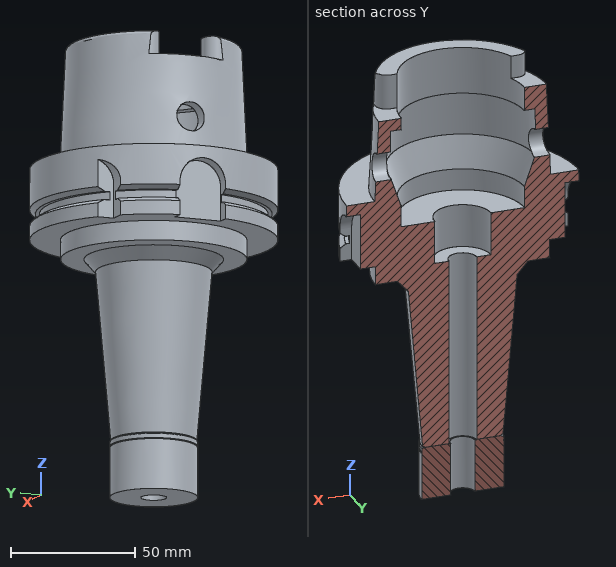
import cadquery as cq
import math

TOP_Z = 185.0
FLANGE_TOP_Z = 135.0
FLANGE_BOTTOM_Z = 106.0
COLLAR_BOTTOM_Z = 98.0
SHANK_TOP_Z = 92.9
SHANK_END_Z = 23.3
NUT_TOP_Z = 22.8

TAPER_TOP_RADIUS = 35.5
TAPER_BASE_RADIUS = 38.0
FLANGE_DIAMETER = 100.0
FLANGE_RADIUS = FLANGE_DIAMETER / 2
COLLAR_RADIUS = 37.5
SHANK_FLARE_RADIUS = 28.1
SHANK_TOP_RADIUS = 23.5
SHANK_END_RADIUS = 17.4
SPIGOT_RADIUS = 16.6
RIM_FILLET = 1.8

GROOVE_RADIUS = 46.0
GROOVE_UPPER_EDGE_Z = 118.4
GROOVE_UPPER_FLOOR_Z = 116.7
GROOVE_LOWER_FLOOR_Z = 113.4
GROOVE_LOWER_EDGE_Z = 111.7
GROOVE_EDGE_RADIUS = 47.7

BORE_RADIUS = 26.5
BORE_LIP_Z = 164.8
UNDERCUT_RADIUS = 31.0
UNDERCUT_BOTTOM_Z = 144.7
UNDERCUT_TAPER_END_Z = 131.4
BORE_FLOOR_Z = 122.1
COOLANT_BORE_RADIUS = 12.0
COOLANT_BORE_DEPTH = 18.5
THROUGH_HOLE_RADIUS = 6.0

SIDE_HOLE_DIAMETER = 12.0
SIDE_HOLE_Z = 149.7

NOTCH_WIDTH = 20.0
NOTCH_CORNER_RADIUS = 4.8
LUG_LENGTH = 64.2
LUG_END_X = LUG_LENGTH / 2
LEFT_NOTCH_DEPTH = 9.8
RIGHT_NOTCH_DEPTH = 15.0

SLOT_WIDTH = 20.0
SLOT_CREST_Z = 130.0
KEY_SLOT_FLOOR = 44.0
INDEX_SLOT_FLOOR = 31.8
INDEX_SLOT_Y = 41.6

NUT_RADIUS = 17.8
NUT_HOLE_RADIUS = 5.2
NUT_GROOVE_Z = 20.5
NUT_GROOVE_WIDTH = 0.4
NUT_GROOVE_DEPTH = 0.2

CLEARANCE = 18.5


def revolve_profile(points):
    """Turn a closed (radius, z) outline about the Z axis."""
    return cq.Workplane("XZ").polyline(points).close().revolve(360, (0, 0), (0, 1))


def make_holder_blank():
    """Taper, grooved flange, collar and conical shank as one turned piece."""
    blank = revolve_profile([
        (0, NUT_TOP_Z),
        (SPIGOT_RADIUS, NUT_TOP_Z),
        (SPIGOT_RADIUS, SHANK_END_Z),
        (SHANK_END_RADIUS, SHANK_END_Z),
        (SHANK_TOP_RADIUS, SHANK_TOP_Z),
        (SHANK_FLARE_RADIUS, COLLAR_BOTTOM_Z),
        (COLLAR_RADIUS, COLLAR_BOTTOM_Z),
        (COLLAR_RADIUS, FLANGE_BOTTOM_Z),
        (FLANGE_RADIUS, FLANGE_BOTTOM_Z),
        (FLANGE_RADIUS, GROOVE_LOWER_EDGE_Z),
        (GROOVE_EDGE_RADIUS, GROOVE_LOWER_FLOOR_Z),
        (GROOVE_RADIUS, GROOVE_LOWER_FLOOR_Z),
        (GROOVE_RADIUS, GROOVE_UPPER_FLOOR_Z),
        (GROOVE_EDGE_RADIUS, GROOVE_UPPER_FLOOR_Z),
        (FLANGE_RADIUS, GROOVE_UPPER_EDGE_Z),
        (FLANGE_RADIUS, FLANGE_TOP_Z),
        (TAPER_BASE_RADIUS, FLANGE_TOP_Z),
        (TAPER_TOP_RADIUS, TOP_Z),
        (0, TOP_Z),
    ])
    return blank.faces(">Z").edges().fillet(RIM_FILLET)


def make_bore():
    """Stepped bore with an undercut below its lip that tapers back in to the bore radius."""
    coolant_floor_z = BORE_FLOOR_Z - COOLANT_BORE_DEPTH
    return revolve_profile([
        (0, NUT_TOP_Z),
        (THROUGH_HOLE_RADIUS, NUT_TOP_Z),
        (THROUGH_HOLE_RADIUS, coolant_floor_z),
        (COOLANT_BORE_RADIUS, coolant_floor_z),
        (COOLANT_BORE_RADIUS, BORE_FLOOR_Z),
        (BORE_RADIUS, BORE_FLOOR_Z),
        (BORE_RADIUS, UNDERCUT_TAPER_END_Z),
        (UNDERCUT_RADIUS, UNDERCUT_BOTTOM_Z),
        (UNDERCUT_RADIUS, BORE_LIP_Z),
        (BORE_RADIUS, BORE_LIP_Z),
        (BORE_RADIUS, TOP_Z),
        (0, TOP_Z),
    ])


def make_side_hole():
    """Cross hole along X through both walls of the taper."""
    return (
        cq.Workplane("YZ")
        .center(0, SIDE_HOLE_Z)
        .circle(SIDE_HOLE_DIAMETER / 2)
        .extrude(FLANGE_RADIUS, both=True)
    )


def make_drive_notch(side, depth):
    """Notch in the rim at side = -1 (-X) or +1 (+X), with rounded lug ends."""
    half_width = NOTCH_WIDTH / 2
    round_x = LUG_END_X - NOTCH_CORNER_RADIUS
    round_y = half_width + NOTCH_CORNER_RADIUS
    outer_x = LUG_END_X + CLEARANCE
    outer_y = TAPER_BASE_RADIUS
    arc_inset = NOTCH_CORNER_RADIUS * (1 - math.sqrt(0.5))
    arc_x = LUG_END_X - arc_inset
    arc_y = half_width + arc_inset
    return (
        cq.Workplane("XY", origin=(0, 0, TOP_Z - depth))
        .moveTo(0, -half_width)
        .lineTo(side * round_x, -half_width)
        .threePointArc((side * arc_x, -arc_y), (side * LUG_END_X, -round_y))
        .lineTo(side * LUG_END_X, -outer_y)
        .lineTo(side * outer_x, -outer_y)
        .lineTo(side * outer_x, outer_y)
        .lineTo(side * LUG_END_X, outer_y)
        .lineTo(side * LUG_END_X, round_y)
        .threePointArc((side * arc_x, arc_y), (side * round_x, half_width))
        .lineTo(0, half_width)
        .close()
        .extrude(depth)
    )


def make_flange_slot(side, floor_distance, center_y):
    """Arched slot, open at the flange bottom, with a flat floor facing side * X."""
    half_width = SLOT_WIDTH / 2
    spring_z = SLOT_CREST_Z - half_width
    return (
        cq.Workplane("YZ", origin=(side * floor_distance, 0, 0))
        .moveTo(center_y - half_width, FLANGE_BOTTOM_Z)
        .lineTo(center_y - half_width, spring_z)
        .threePointArc((center_y, SLOT_CREST_Z), (center_y + half_width, spring_z))
        .lineTo(center_y + half_width, FLANGE_BOTTOM_Z)
        .close()
        .extrude(side * CLEARANCE)
    )


def make_holder():
    """Tool holder with its bore, notches and flange slots."""
    holder = make_holder_blank().cut(make_bore()).cut(make_side_hole())
    for side, depth in ((-1, LEFT_NOTCH_DEPTH), (1, RIGHT_NOTCH_DEPTH)):
        holder = holder.cut(make_drive_notch(side, depth))
        holder = holder.cut(make_flange_slot(side, KEY_SLOT_FLOOR, 0))
    return holder.cut(make_flange_slot(-1, INDEX_SLOT_FLOOR, INDEX_SLOT_Y))


def make_nut():
    """Clamping nut seated against the end of the shank spigot, with a fine groove near its top."""
    groove_radius = NUT_RADIUS - NUT_GROOVE_DEPTH
    return revolve_profile([
        (NUT_HOLE_RADIUS, 0),
        (NUT_RADIUS, 0),
        (NUT_RADIUS, NUT_GROOVE_Z),
        (groove_radius, NUT_GROOVE_Z),
        (groove_radius, NUT_GROOVE_Z + NUT_GROOVE_WIDTH),
        (NUT_RADIUS, NUT_GROOVE_Z + NUT_GROOVE_WIDTH),
        (NUT_RADIUS, NUT_TOP_Z),
        (NUT_HOLE_RADIUS, NUT_TOP_Z),
    ])


holder = make_holder()
nut = make_nut()

result = cq.Compound.makeCompound([holder.val(), nut.val()])